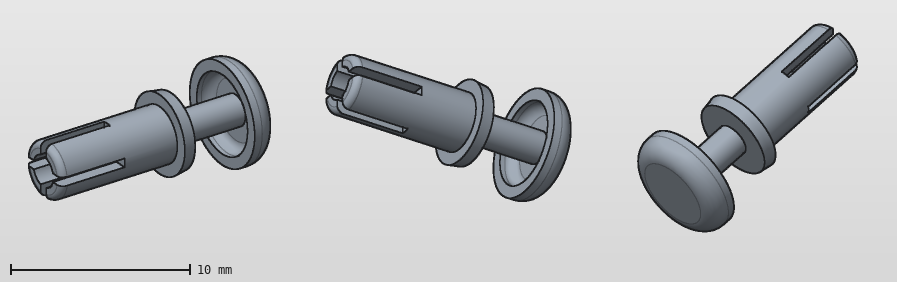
import cadquery as cq

total_length = 13.73

head_radius = 3.2
head_thickness = 1.59
head_edge_radius = 1.1
recess_radius = 2.5
recess_depth = 0.9
recess_fillet = 0.6
shaft_radius = 0.97
shaft_end = 3.95

flange_front_radius = 2.5
flange_back_radius = 2.38
flange_thickness = 0.8
barrel_radius = 1.76
barrel_length = 7.88
tip_radius = 0.4
slot_width = 0.55
slot_length = 4.31

head_underside = total_length - head_thickness


def cylinder(radius, start, length):
    """Solid cylinder about the Y axis, growing toward +Y from start."""
    plane = cq.Plane(origin=(0, start, 0), xDir=(1, 0, 0), normal=(0, 1, 0))
    return cq.Workplane(plane).circle(radius).extrude(length)


def make_pin():
    """Round-edged head, hollow underneath, on a shaft with a hemispherical nose."""
    head = cylinder(head_radius, head_underside, head_thickness)
    head = head.faces(">Y").edges().fillet(head_edge_radius)

    recess = cylinder(recess_radius, head_underside, recess_depth)
    recess = recess.faces(">Y").edges().fillet(recess_fillet)

    recess_floor = head_underside + recess_depth
    shaft = cylinder(shaft_radius, shaft_end, recess_floor - shaft_end)
    nose = cq.Workplane("XY").sphere(shaft_radius).translate((0, shaft_end, 0))
    return head.cut(recess).union(shaft).union(nose)


def make_sleeve():
    """Flanged barrel with a through bore, its tip split into four legs."""
    barrel = cylinder(barrel_radius, 0, barrel_length)
    barrel = barrel.faces("<Y").edges().fillet(tip_radius)

    flange_back = barrel_length + flange_thickness
    flange = (
        cq.Workplane("XY")
        .moveTo(0, barrel_length)
        .lineTo(flange_front_radius, barrel_length)
        .lineTo(flange_back_radius, flange_back)
        .lineTo(0, flange_back)
        .close()
        .revolve(360, (0, 0, 0), (0, 1, 0))
    )
    sleeve = barrel.union(flange).cut(cylinder(shaft_radius, 0, flange_back))

    slot_span = 2 * barrel_radius + 2 * slot_width
    slot = cq.Workplane("XY").box(slot_width, slot_length, slot_span)
    slot = slot.translate((0, slot_length / 2, 0))
    for angle in (0, 90):
        sleeve = sleeve.cut(slot.rotate((0, 0, 0), (0, 1, 0), angle))
    return sleeve


pin = make_pin()
sleeve = make_sleeve()

result = cq.Compound.makeCompound([pin.val(), sleeve.val()])